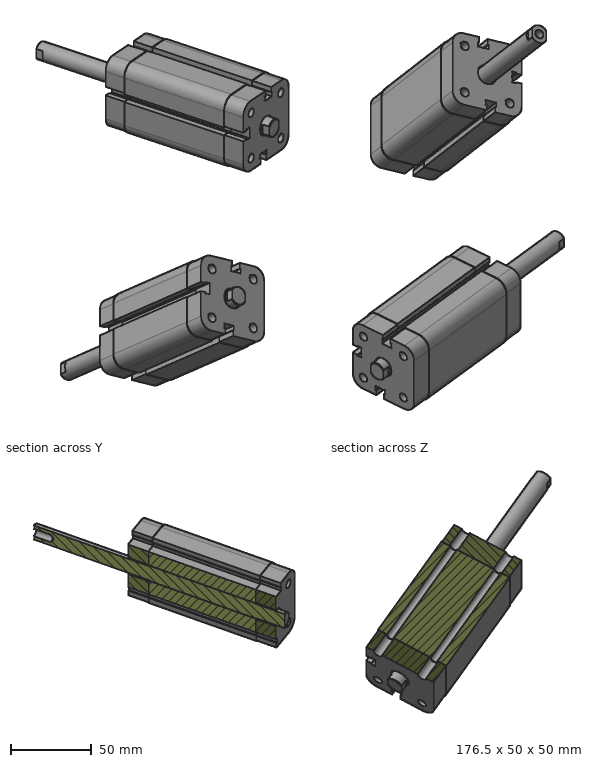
import cadquery as cq
import math

total_length = 176.5
barrel_length = 75.5
cap_length = 14.3
rear_rod_reach = 6.2

barrel_side = 50.0
cap_side = 49.0
barrel_corner_radius = 8.3
cap_corner_radius = barrel_corner_radius - (barrel_side - cap_side) / 2

bolt_pitch = 32.0
cap_bolt_hole_diameter = 5.8
barrel_bolt_hole_diameter = 4.6

slot_depth = 7.2
slot_foot_height = 3.0
slot_near_edge = -0.4
barrel_slot_far_edge = 5.1
cap_slot_far_edge = 5.6
slot_foot_overhang = 0.7
slot_face_angles = (0, 90, 180)

rod_diameter = 12.0
rod_flat_width = 10.0
rod_flat_length = 5.0
rod_flat_runout = 0.7
rear_rod_chamfer = 0.4
cap_bore_diameter = 13.0
rod_hole_diameter = 5.6
rod_hole_depth = 12.0
drill_point_angle = 118.0

rod_front_x = -total_length / 2
rod_rear_x = total_length / 2
rear_cap_end_x = rod_rear_x - rear_rod_reach
barrel_rear_x = rear_cap_end_x - cap_length
barrel_front_x = barrel_rear_x - barrel_length
front_cap_end_x = barrel_front_x - cap_length


def bar_section(start_x):
    """Section plane across the rod axis, with local x along Y and local y along Z."""
    return cq.Workplane("YZ", origin=(start_x, 0, 0))


def slot_cutter(start_x, length, far_edge):
    """Stepped slot in the top face."""
    slot_floor = barrel_side / 2 - slot_depth
    foot_top = slot_floor + slot_foot_height
    above_face = barrel_side
    return (
        bar_section(start_x)
        .moveTo(slot_near_edge, above_face)
        .lineTo(slot_near_edge, foot_top)
        .lineTo(slot_near_edge - slot_foot_overhang, foot_top)
        .lineTo(slot_near_edge - slot_foot_overhang, slot_floor)
        .lineTo(far_edge + slot_foot_overhang, slot_floor)
        .lineTo(far_edge + slot_foot_overhang, foot_top)
        .lineTo(far_edge, foot_top)
        .lineTo(far_edge, above_face)
        .close()
        .extrude(length)
    )


def make_block(start_x, length, side, corner_radius, bore_diameter, bolt_hole_diameter, slot_far_edge):
    """Rounded square block with a central bore, four bolt holes and three sensor slots."""
    block = bar_section(start_x).rect(side, side).extrude(length).edges("|X").fillet(corner_radius)
    bore = bar_section(start_x).circle(bore_diameter / 2).extrude(length)
    bolt_holes = (
        bar_section(start_x)
        .rect(bolt_pitch, bolt_pitch, forConstruction=True)
        .vertices()
        .circle(bolt_hole_diameter / 2)
        .extrude(length)
    )
    block = block.cut(bore).cut(bolt_holes)
    slot = slot_cutter(start_x, length, slot_far_edge)
    for angle in slot_face_angles:
        block = block.cut(slot.rotate((0, 0, 0), (1, 0, 0), angle))
    return block


def make_barrel():
    """Middle profile; its bore carries the rod."""
    return make_block(
        start_x=barrel_front_x,
        length=barrel_length,
        side=barrel_side,
        corner_radius=barrel_corner_radius,
        bore_diameter=rod_diameter,
        bolt_hole_diameter=barrel_bolt_hole_diameter,
        slot_far_edge=barrel_slot_far_edge,
    )


def make_cap(start_x):
    """End cap; its bore clears the rod all round."""
    return make_block(
        start_x=start_x,
        length=cap_length,
        side=cap_side,
        corner_radius=cap_corner_radius,
        bore_diameter=cap_bore_diameter,
        bolt_hole_diameter=cap_bolt_hole_diameter,
        slot_far_edge=cap_slot_far_edge,
    )


def flat_cutter():
    """Cutter for the +Y flat at the front rod end, with a sloped run-out up to the rod surface."""
    flat_y = rod_flat_width / 2
    rod_surface_y = rod_diameter / 2
    flat_end_x = rod_front_x + rod_flat_length
    return (
        cq.Workplane("XY")
        .moveTo(rod_front_x, flat_y)
        .lineTo(flat_end_x, flat_y)
        .lineTo(flat_end_x + rod_flat_runout, rod_surface_y)
        .lineTo(rod_front_x, rod_surface_y)
        .close()
        .extrude(rod_diameter / 2, both=True)
    )


def make_rod():
    rod = bar_section(rod_front_x).circle(rod_diameter / 2).extrude(total_length)
    rod = rod.faces(">X").chamfer(rear_rod_chamfer)
    front_flat = flat_cutter()
    front_flats = front_flat.union(front_flat.mirror("XZ"))
    rod = rod.cut(front_flats).cut(front_flats.mirror("YZ"))
    hole_radius = rod_hole_diameter / 2
    point_length = hole_radius / math.tan(math.radians(drill_point_angle / 2))
    hole = (
        cq.Workplane("XY", origin=(rod_front_x, 0, 0))
        .lineTo(0, hole_radius)
        .lineTo(rod_hole_depth, hole_radius)
        .lineTo(rod_hole_depth + point_length, 0)
        .close()
        .revolve(360, (0, 0, 0), (1, 0, 0))
    )
    return rod.cut(hole)


barrel = make_barrel()
caps = [make_cap(start_x) for start_x in (front_cap_end_x, barrel_rear_x)]
rod = make_rod()

result = cq.Compound.makeCompound([barrel.val(), *[cap.val() for cap in caps], rod.val()])